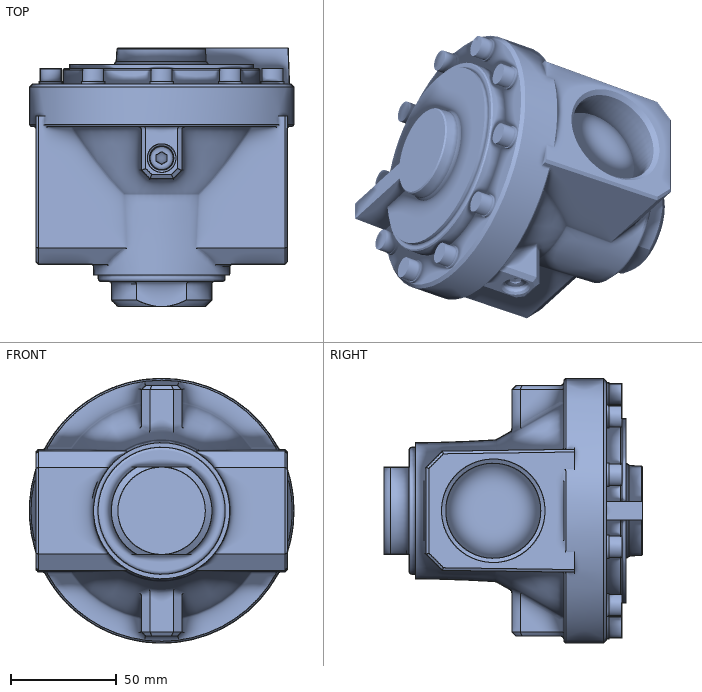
import cadquery as cq
import math


flange_radius = 62.5
flange_front = 33.4
flange_joint = 43.2
flange_back = 53.5
flange_front_chamfer = 0.9
flange_back_chamfer = 1.5
cone_base_radius = 51.6
neck_start = 1.2
neck_root_radius = 33.5
neck_end = -36.8
neck_end_radius = 32.1

collar_radius = 30.0
collar_front = -39.8
collar_rounding = 1.5
cap_radius = 23.8
cap_front = -51.6
cap_chamfer = 3.1
cap_root_fillet = 1.1
cap_across_flats = 41.2

cover_radius = 46.6
cover_back = 60.8
cover_chamfer = 0.6
plate_radius = 43.5
plate_back = 62.8
knob_back_radius = 21.1
knob_foot_radius = 21.5
knob_back = 70.5
knob_foot = 64.1
knob_foot_flare = 1.0
knob_chamfer = 0.6

arm_back_tip = 59.8
arm_foot_tip = 60.4
arm_width = 8.8

screw_count = 10
screw_circle_radius = 55.0
screw_diameter = 10.0
screw_foot_diameter = 11.0
screw_foot_height = 1.1

block_length = 118.8
block_back = 38.4
block_front = -31.6
block_back_half_height = 29.0
block_front_half_height = 28.1
block_bevel = 7.6
block_end_chamfer = 1.2
port_diameter = 44.9
port_mouth_diameter = 48.9
port_depth = 19.5

boss_width = 19.0
boss_top = 59.1
boss_front = 8.8
boss_corner = 4.0
boss_chamfer = 2.0
vent_y = 18.5
vent_diameter = 11.5
vent_mouth_diameter = 13.5
vent_depth = 4.5
plug_diameter = 11.0
plug_recess = 3.8
plug_hex_flats = 5.1
plug_hex_depth = 2.5

blend_radius = 1.0
boss_blend_radius = 1.8
tab_blend_limit = 26.2
surface_tolerance = 0.001


def revolve_about_y(points):
    """Solid of revolution from (radius, y) points, closed along the Y axis."""
    return cq.Workplane("XY").polyline(points).close().revolve(360, (0, 0, 0), (0, 1, 0))


def disc(radius, y_start, y_end):
    return revolve_about_y([(0, y_start), (radius, y_start), (radius, y_end), (0, y_end)])


def housing():
    """Flange front half, cone and neck."""
    return revolve_about_y([
        (0, neck_end),
        (neck_end_radius, neck_end),
        (neck_root_radius, neck_start),
        (cone_base_radius, flange_front),
        (flange_radius - flange_front_chamfer, flange_front),
        (flange_radius, flange_front + flange_front_chamfer),
        (flange_radius, flange_joint),
        (0, flange_joint),
    ])


def port_block():
    """Slightly tapered block along X, bevelled in front and chamfered at its ends."""
    bevel_start = block_front + block_bevel
    face_half_height = block_front_half_height - block_bevel
    upper = [
        (block_back, block_back_half_height),
        (bevel_start, block_front_half_height),
        (block_front, face_half_height),
    ]
    lower = [(y, -z) for y, z in reversed(upper)]
    block = cq.Workplane("YZ").polyline(upper + lower).close().extrude(block_length / 2, both=True)
    return block.faces("<X or >X").edges("not >Y").chamfer(block_end_chamfer)


def vent_boss():
    half = boss_width / 2
    outline = [
        (-half, flange_joint),
        (-half, boss_front + boss_corner),
        (-half + boss_corner, boss_front),
        (half - boss_corner, boss_front),
        (half, boss_front + boss_corner),
        (half, flange_joint),
    ]
    boss = cq.Workplane("XY").polyline(outline).close().extrude(boss_top)
    return boss.faces(">Z").chamfer(boss_chamfer)


def on_surface(solid, point):
    return cq.Vertex.makeVertex(*point.toTuple()).distance(solid.val().Shells()[0]) < surface_tolerance


def seam_edges(joined, first, second):
    """Edges of a union that lie on the surfaces of both of its members."""
    midpoints = [(edge, edge.positionAt(0.5)) for edge in joined.edges().vals()]
    return [edge for edge, point in midpoints if on_surface(first, point) and on_surface(second, point)]


def is_cone_end(edge):
    """True for the arcs where the cone meets the flange and the neck."""
    if edge.geomType() != "CIRCLE":
        return False
    ends = [(cone_base_radius, flange_front), (neck_root_radius, neck_start)]
    return any(
        math.isclose(edge.radius(), radius, abs_tol=surface_tolerance)
        and math.isclose(edge.positionAt(0.5).y, y, abs_tol=surface_tolerance)
        for radius, y in ends
    )


def is_sharp_tab_edge(edge):
    """True for the corners between the flange rim and the insides of the block tabs."""
    middle = edge.positionAt(0.5)
    return middle.y > flange_front + blend_radius and abs(middle.z) < tab_blend_limit


def body():
    """Housing, port block and vent bosses, with their inner corners rounded."""
    shell = housing()
    block = port_block()
    upper_boss = vent_boss()
    lower_boss = upper_boss.mirror("XY")
    joined = shell.union(block).union(upper_boss).union(lower_boss)

    boss_seams = seam_edges(joined, shell, upper_boss) + seam_edges(joined, shell, lower_boss)
    joined = joined.newObject(boss_seams).fillet(boss_blend_radius)

    block_seams = [edge for edge in seam_edges(joined, shell, block) if not is_sharp_tab_edge(edge)]
    cone_ends = [edge for edge in joined.edges().vals() if is_cone_end(edge)]
    return joined.newObject(block_seams + cone_ends).fillet(blend_radius)


def port(side):
    """Blind port with a conical mouth; side is +1 or -1 along X."""
    mouth_depth = (port_mouth_diameter - port_diameter) / 2
    half = block_length / 2
    cutter = (
        cq.Workplane("XY")
        .polyline([
            (half - port_depth, 0),
            (half - port_depth, port_diameter / 2),
            (half - mouth_depth, port_diameter / 2),
            (half, port_mouth_diameter / 2),
            (half, 0),
        ])
        .close()
        .revolve(360, (0, 0, 0), (1, 0, 0))
    )
    return cutter if side > 0 else cutter.mirror("YZ")


def vent_hole():
    """Vent hole with a conical mouth, less the plug that sits in it."""
    mouth_depth = (vent_mouth_diameter - vent_diameter) / 2
    hole = (
        cq.Workplane("XZ", origin=(0, vent_y, boss_top))
        .polyline([
            (0, 0),
            (vent_mouth_diameter / 2, 0),
            (vent_diameter / 2, -mouth_depth),
            (vent_diameter / 2, -vent_depth),
            (0, -vent_depth),
        ])
        .close()
        .revolve(360, (0, 0, 0), (0, 1, 0))
    )
    plug_face = cq.Workplane("XY", origin=(0, vent_y, boss_top - plug_recess))
    plug = plug_face.circle(plug_diameter / 2).extrude(plug_recess - vent_depth)
    hex_corners = plug_hex_flats / math.cos(math.pi / 6)
    socket = plug_face.transformed(rotate=(0, 0, 90)).polygon(6, hex_corners).extrude(-plug_hex_depth)
    return hole.cut(plug).union(socket)


def collar():
    return disc(collar_radius, neck_end, collar_front).faces("<Y").edges().fillet(collar_rounding)


def cap():
    """Round screw cap with a flared root and two wrench flats facing up and down."""
    blank = (
        cq.Workplane("XY")
        .moveTo(0, collar_front)
        .lineTo(cap_radius + cap_root_fillet, collar_front)
        .radiusArc((cap_radius, collar_front - cap_root_fillet), -cap_root_fillet)
        .lineTo(cap_radius, cap_front + cap_chamfer)
        .lineTo(cap_radius - cap_chamfer, cap_front)
        .lineTo(0, cap_front)
        .close()
        .revolve(360, (0, 0, 0), (0, 1, 0))
    )
    between_flats = cq.Workplane("XY").box(flange_radius, -2 * cap_front, cap_across_flats)
    return blank.intersect(between_flats)


def cover():
    """Flange rear half, raised cover, plate and knob."""
    flange = disc(flange_radius, flange_joint, flange_back).faces(">Y").chamfer(flange_back_chamfer)
    raised = disc(cover_radius, flange_back, cover_back).faces(">Y").chamfer(cover_chamfer)
    plate = disc(plate_radius, cover_back, plate_back)
    knob = revolve_about_y([
        (0, plate_back),
        (knob_foot_radius + knob_foot_flare, plate_back),
        (knob_foot_radius, knob_foot),
        (knob_back_radius, knob_back - knob_chamfer),
        (knob_back_radius - knob_chamfer, knob_back),
        (0, knob_back),
    ])
    return flange.union(raised).union(plate).union(knob)


def arm():
    """Flat bar from the knob to the rim with a slightly sloping tip."""
    outline = [(0, flange_back), (arm_foot_tip, flange_back), (arm_back_tip, knob_back), (0, knob_back)]
    return cq.Workplane("XY").polyline(outline).close().extrude(arm_width / 2, both=True)


def cover_screws():
    foot_end = flange_back + screw_foot_height
    screw = disc(screw_diameter / 2, flange_back, cover_back).union(
        disc(screw_foot_diameter / 2, flange_back, foot_end)
    )
    first = screw.translate((0, 0, screw_circle_radius))
    turns = [index * 360 / screw_count for index in range(screw_count)]
    return [first.rotate((0, 0, 0), (0, 1, 0), turn) for turn in turns]


result = body()
for addition in [collar(), cap(), cover(), arm()] + cover_screws():
    result = result.union(addition)
vent = vent_hole()
for cutter in [port(1), port(-1), vent, vent.mirror("XY")]:
    result = result.cut(cutter)